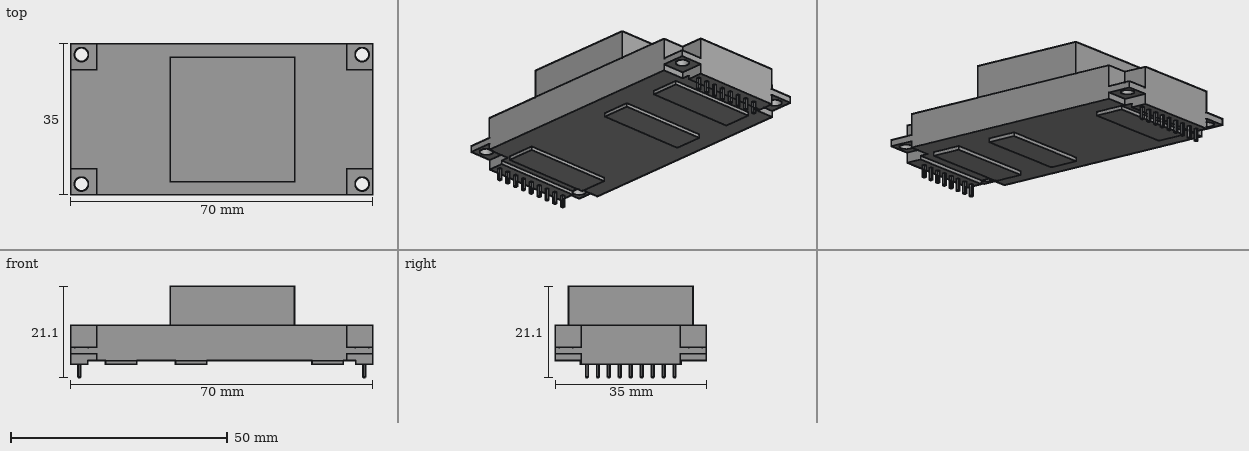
import cadquery as cq

LENGTH = 70.0
WIDTH = 35.0
CORNER_NOTCH = 6.0

BOARD_THICKNESS = 1.55
UPPER_CASE_HEIGHT = 5.1
LOWER_CASE_HEIGHT = 1.55
FOOT_HEIGHT = 0.9
BLOCK_HEIGHT = 9.0
PIN_LENGTH = 3.0

BLOCK_SIDE = 28.85
BLOCK_CENTRE_X = 2.45

HOLE_DIAMETER = 3.15
HOLE_INSET = 2.5

FOOT_LENGTH = 4.0
PIN_SIDE = 0.6
PIN_TIP_CHAMFER = 0.2
PIN_POSITIONS = 9
PIN_ROW_SPAN = 20.3
PIN_PITCH = PIN_ROW_SPAN / (PIN_POSITIONS - 1)
PIN_ROW_X = 33.0

PAD_LENGTH = 7.3
PAD_WIDTH = 23.4
PAD_CENTRES_X = (-23.3, -7.1, 24.5)

CASE_BOTTOM = -LOWER_CASE_HEIGHT
CASE_TOP = BOARD_THICKNESS + UPPER_CASE_HEIGHT
FOOT_BOTTOM = CASE_BOTTOM - FOOT_HEIGHT
FOOT_WIDTH = WIDTH - 2 * CORNER_NOTCH


def slab(length, width, bottom, height, x=0.0):
    """Upright rectangular block centred at x on the X axis, standing on the given level."""
    return cq.Workplane("XY", origin=(x, 0, bottom)).rect(length, width).extrude(height)


def notched_slab(bottom, height):
    """Full-size slab with a square notch cut out of each corner."""
    long_bar = slab(LENGTH, FOOT_WIDTH, bottom, height)
    wide_bar = slab(LENGTH - 2 * CORNER_NOTCH, WIDTH, bottom, height)
    return long_bar.union(wide_bar)


def board():
    """Full rectangular board with a screw hole in each corner."""
    return (
        slab(LENGTH, WIDTH, 0, BOARD_THICKNESS)
        .faces(">Z")
        .workplane()
        .rect(LENGTH - 2 * HOLE_INSET, WIDTH - 2 * HOLE_INSET, forConstruction=True)
        .vertices()
        .hole(HOLE_DIAMETER)
    )


def pin(x, y):
    """Square pin hanging from a foot, with a chamfered tip."""
    return (
        cq.Workplane("XY", origin=(x, y, FOOT_BOTTOM))
        .rect(PIN_SIDE, PIN_SIDE)
        .extrude(-PIN_LENGTH)
        .faces("<Z")
        .chamfer(PIN_TIP_CHAMFER)
    )


result = board()
result = result.union(notched_slab(BOARD_THICKNESS, UPPER_CASE_HEIGHT))
result = result.union(notched_slab(CASE_BOTTOM, LOWER_CASE_HEIGHT))
result = result.union(slab(BLOCK_SIDE, BLOCK_SIDE, CASE_TOP, BLOCK_HEIGHT, BLOCK_CENTRE_X))

for end in (-1, 1):
    foot_x = end * (LENGTH - FOOT_LENGTH) / 2
    result = result.union(slab(FOOT_LENGTH, FOOT_WIDTH, FOOT_BOTTOM, FOOT_HEIGHT, foot_x))

for end, first_position in ((-1, 1), (1, 0)):
    for position in range(first_position, PIN_POSITIONS):
        pin_y = position * PIN_PITCH - PIN_ROW_SPAN / 2
        result = result.union(pin(end * PIN_ROW_X, pin_y))

for pad_x in PAD_CENTRES_X:
    result = result.union(slab(PAD_LENGTH, PAD_WIDTH, FOOT_BOTTOM, FOOT_HEIGHT, pad_x))